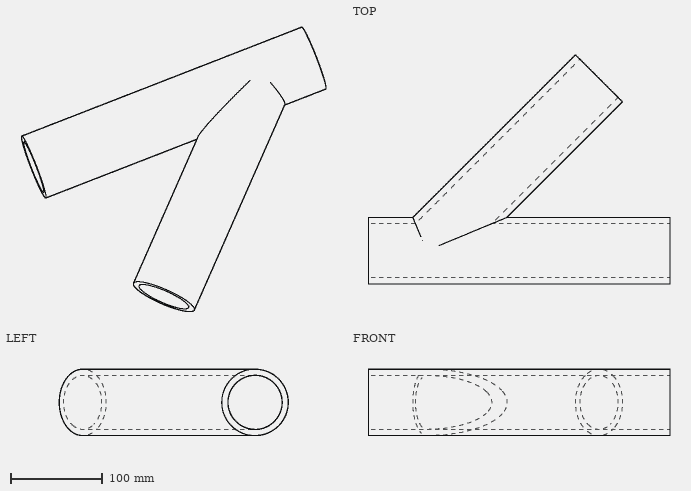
import cadquery as cq
import math

outer_diameter = 73.0
bore_diameter = 59.0

run_length = 330.2

branch_angle = 45.0
junction_from_end = 63.7
width_y = 251.0

outer_radius = outer_diameter / 2
angle = math.radians(branch_angle)
branch_reach_y = width_y - outer_radius - outer_radius * math.cos(angle)
branch_length = branch_reach_y / math.sin(angle)

run_start = cq.Vector(-run_length / 2, 0, 0)
run_direction = cq.Vector(1, 0, 0)
junction = cq.Vector(-run_length / 2 + junction_from_end, 0, 0)
branch_direction = cq.Vector(math.cos(angle), math.sin(angle), 0)


def wye(diameter):
    """Solid Y shape: a main cylinder joined to its angled branch."""
    radius = diameter / 2
    run = cq.Solid.makeCylinder(radius, run_length, run_start, run_direction)
    branch = cq.Solid.makeCylinder(radius, branch_length, junction, branch_direction)
    return cq.Workplane(run).union(cq.Workplane(branch))


result = wye(outer_diameter).cut(wye(bore_diameter))